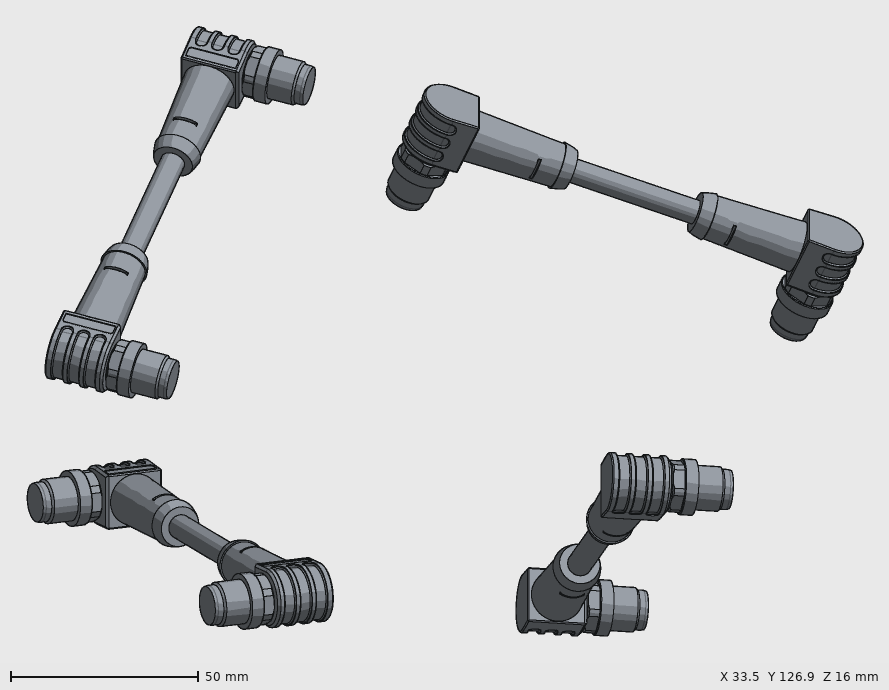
import cadquery as cq
import math

overall_length = 126.94
overall_depth = 33.5
cable_x = 8.0

housing_radius = 7.985
housing_width = 16.2
housing_rear = 8.0
housing_taper = 3.5
housing_back_chamfer = 0.35
housing_nose_chamfer = 0.7
housing_rear_chamfer = 0.35
axis_offset = overall_length / 2 - housing_radius

groove_count = 3
groove_pitch = 4.6
groove_width = 3.4
groove_depth = 0.65
groove_wall_chamfer = 0.35
groove_reach = 2.5

label_length = 14.1
label_width = 3.1
label_center_y = -5.25
label_depth = 0.3
label_corner = 0.5

cable_diameter = 6.6
boot_base_diameter = 14.1
boot_neck_diameter = 12.1
collar_diameter = 13.0
collar_end_diameter = 11.0
collar_bulge = 0.15
collar_length = 3.8
boot_end_y = 18.1 - axis_offset
slit_y = 28.2 - axis_offset
slit_width = 0.8
slit_length = cable_diameter
slit_floor_z = 5.1

neck_diameter = 10.0
nut_start = 16.8
nut_corner_count = 6
nut_across_flats = 13.0
nut_across_corners = 14.0
nut_chamfer = 0.4
flange_start = 20.0
flange_end = 23.6
flange_diameter = 15.0
flange_chamfer = 0.25
barrel_diameter = 12.0
barrel_end = 30.5
tip_diameter = 10.8
tip_start = 31.1
tip_bevel_start = 32.7
tip_end_diameter = 10.4


def housing_solid(inset=0.0):
    """Housing block whose curved and tapered sides are moved inward by inset."""
    radius = housing_radius - inset
    taper = math.radians(housing_taper)
    tangent_y = -radius * math.sin(taper)
    tangent_z = radius * math.cos(taper)
    rear_z = tangent_z - (housing_rear + tangent_y) * math.tan(taper)
    return (
        cq.Workplane("YZ")
        .moveTo(-housing_rear, -rear_z)
        .lineTo(tangent_y, -tangent_z)
        .threePointArc((radius, 0), (tangent_y, tangent_z))
        .lineTo(-housing_rear, rear_z)
        .close()
        .extrude(housing_width)
    )


def groove_cutter(center_x):
    """Band around the half-round with round ends on the flat sides and sloped walls."""
    half_width = groove_width / 2
    outer_y = 2 * housing_radius
    round_center_y = half_width - groove_reach
    slot = (
        cq.Workplane("XY")
        .moveTo(center_x - half_width, outer_y)
        .lineTo(center_x - half_width, round_center_y)
        .threePointArc((center_x, -groove_reach), (center_x + half_width, round_center_y))
        .lineTo(center_x + half_width, outer_y)
        .close()
        .extrude(2 * housing_radius, both=True)
    )
    band = slot.cut(housing_solid(groove_depth))
    floor_region = cq.selectors.BoxSelector(
        (0, -housing_rear, -housing_radius),
        (housing_width, housing_radius, housing_radius),
    )
    return band.edges(floor_region).edges("not |X").chamfer(groove_wall_chamfer)


def label_recess():
    """Pocket on the top face, parallel to the tapered surface, rounded toward the grooves."""
    prism = (
        cq.Workplane("XY")
        .center(cable_x, label_center_y)
        .rect(label_length, label_width)
        .extrude(2 * housing_radius)
        .edges("|Z and >Y")
        .chamfer(label_corner)
    )
    return prism.cut(housing_solid(label_depth))


def housing():
    """Housing with beveled rims, grip grooves and label recess."""
    body = housing_solid()
    body = body.faces("<X").edges().chamfer(housing_back_chamfer)
    body = body.faces(">X").edges().chamfer(housing_nose_chamfer)
    body = body.faces("<Y").edges("|X").chamfer(housing_rear_chamfer)
    for index in range(groove_count):
        center_x = cable_x + (index - (groove_count - 1) / 2) * groove_pitch
        body = body.cut(groove_cutter(center_x))
    return body.cut(label_recess())


def boot():
    """Strain relief turned about the cable: tapered sleeve, rounded collar, and two slits."""
    collar_start_y = boot_end_y + collar_length
    collar_radius = collar_diameter / 2
    end_radius = collar_end_diameter / 2
    bulge_radius = (collar_radius + end_radius) / 2 + collar_bulge
    sleeve = (
        cq.Workplane("XY")
        .moveTo(0, -housing_rear)
        .lineTo(boot_base_diameter / 2, -housing_rear)
        .lineTo(boot_neck_diameter / 2, collar_start_y)
        .lineTo(collar_radius, collar_start_y)
        .threePointArc((bulge_radius, (collar_start_y + boot_end_y) / 2), (end_radius, boot_end_y))
        .lineTo(0, boot_end_y)
        .close()
        .revolve(360, (0, 0), (0, 1))
    )
    slit = (
        cq.Workplane("XY", origin=(0, slit_y, slit_floor_z))
        .rect(slit_length, slit_width)
        .extrude(boot_base_diameter)
    )
    sleeve = sleeve.cut(slit).cut(slit.mirror("XY"))
    return sleeve.translate((cable_x, 0, 0))


def cable():
    """Straight cable running from one housing to the other."""
    reach = axis_offset - housing_rear
    return (
        cq.Workplane("XZ", origin=(cable_x, 0, 0))
        .circle(cable_diameter / 2)
        .extrude(reach, both=True)
    )


def coupling_nut():
    """Hexagon with its six corners turned round and its rear rim beveled."""
    length = flange_start - nut_start
    circumscribing = 1 / math.cos(math.pi / nut_corner_count)
    nut_plane = cq.Workplane("YZ", origin=(nut_start, 0, 0))
    hexagon = nut_plane.polygon(nut_corner_count, nut_across_flats * circumscribing).extrude(length)
    hexagon = hexagon.rotate((0, 0, 0), (1, 0, 0), 180 / nut_corner_count)
    rim = nut_plane.circle(nut_across_corners / 2).extrude(length)
    return hexagon.intersect(rim.faces("<X").chamfer(nut_chamfer))


def barrel():
    """Neck, flange and stepped plug barrel turned about X."""
    neck_radius = neck_diameter / 2
    flange_radius = flange_diameter / 2
    barrel_radius = barrel_diameter / 2
    tip_radius = tip_diameter / 2
    neck_start = housing_width - housing_nose_chamfer
    return (
        cq.Workplane("XY")
        .moveTo(neck_start, 0)
        .lineTo(neck_start, neck_radius)
        .lineTo(flange_start, neck_radius)
        .lineTo(flange_start, flange_radius - flange_chamfer)
        .lineTo(flange_start + flange_chamfer, flange_radius)
        .lineTo(flange_end, flange_radius)
        .lineTo(flange_end, barrel_radius)
        .lineTo(barrel_end, barrel_radius)
        .lineTo(tip_start, tip_radius)
        .lineTo(tip_bevel_start, tip_radius)
        .lineTo(overall_depth, tip_end_diameter / 2)
        .lineTo(overall_depth, 0)
        .close()
        .revolve(360, (0, 0), (1, 0))
    )


def plug():
    """One complete plug, in its place on the +Y side."""
    parts = housing().union(boot()).union(coupling_nut()).union(barrel())
    return parts.translate((0, axis_offset, 0))


far_plug = plug()
near_plug = far_plug.mirror("XZ")
result = far_plug.union(cable()).union(near_plug)